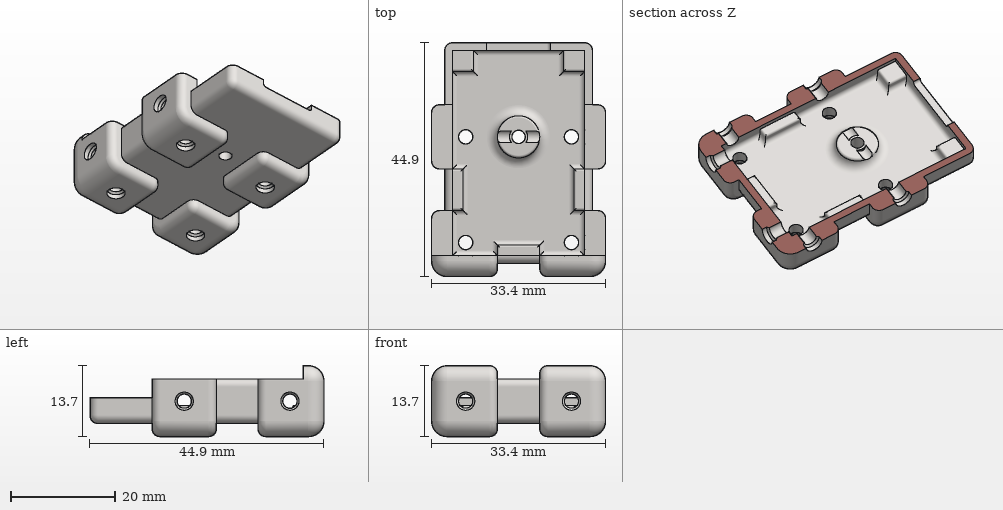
import cadquery as cq

half_width = 16.7
length = 44.85
foot_height = 13.65

wall = 1.53
cavity_half_width = 12.65
tray_half_width = cavity_half_width + wall
tray_front = 2.5
tray_bottom = 2.5
tray_top = 11.1
floor_z = 4.0
rear_wall_top = 7.5
cavity_front = tray_front + wall
cavity_rear = length - wall

foot_width = 12.65
front_foot_length = 12.7
middle_foot_front = 20.65
middle_foot_length = 12.35
large_round = 3.0
small_round = 1.53

hole_diameter = 2.7
mouth_diameter = 3.5
mouth_depth = 1.0
hole_overrun = 0.45
hole_x = 10.15
hole_z = foot_height / 2
front_hole_y = 6.55
middle_hole_y = middle_foot_front + middle_foot_length / 2

rest_height = 2.0
rest_top = floor_z + rest_height
rest_edge_round = 0.45
floor_round = 0.95
corner_rest_size = 4.05
bar_rest_depth = 2.0
side_rest_front = front_foot_length
side_rest_rear = middle_foot_front
front_rest_half_width = half_width - foot_width

boss_radius = 4.05
boss_flare = 2.0
pilot_diameter = 2.5
collar_diameter = 3.5

notch_half_width = 6.1
notch_round = 0.65


def block(x_min, x_max, y_min, y_max, z_min, z_max):
    """Box between the given limits."""
    size = (x_max - x_min, y_max - y_min, z_max - z_min)
    return cq.Workplane("XY").box(*size, centered=False).translate((x_min, y_min, z_min))


def both_sides(shape):
    """The shape together with its mirror image across the YZ plane."""
    return shape.union(shape.mirror("YZ"))


def cylinder(diameter, depth, start, direction):
    """Cylinder from a start point along a direction."""
    return cq.Workplane(obj=cq.Solid.makeCylinder(
        diameter / 2, depth, cq.Vector(*start), cq.Vector(*direction)))


def make_tray_body():
    """Solid rounded body of the tray, stepped down behind the middle feet."""
    body = block(-tray_half_width, tray_half_width, tray_front, length, tray_bottom, tray_top)
    body = body.edges().fillet(small_round)
    step_y = middle_foot_front + middle_foot_length
    return body.cut(block(-half_width, half_width, step_y, length, rear_wall_top, foot_height))


def make_foot(y_min, y_length, large_edges, small_edges):
    """Left foot block with generous outer rounds and smaller remaining rounds."""
    foot = block(-half_width, -half_width + foot_width, y_min, y_min + y_length, 0, foot_height)
    foot = foot.edges(large_edges).fillet(large_round)
    return foot.edges(small_edges).fillet(small_round)


def make_feet():
    """Front and middle feet on both sides."""
    front = make_foot(0, front_foot_length, "(<X and |Y) or (<Y and |X) or (<X and <Y)", ">X or >Y")
    middle = make_foot(middle_foot_front, middle_foot_length, "<X and |Y", ">X or <Y or >Y")
    above_tray = block(-half_width, half_width, cavity_front, length, tray_top, foot_height)
    return both_sides(front.union(middle)).cut(above_tray)


def make_rests():
    """Corner and bar rests, from the floor up to their flat tops."""
    corner = block(-cavity_half_width, -cavity_half_width + corner_rest_size,
                   cavity_rear - corner_rest_size, cavity_rear, floor_z, rest_top)
    side = block(-cavity_half_width, -cavity_half_width + bar_rest_depth,
                 side_rest_front, side_rest_rear, floor_z, rest_top)
    front = block(-front_rest_half_width, front_rest_half_width,
                  cavity_front, cavity_front + bar_rest_depth, floor_z, rest_top)
    return both_sides(corner.union(side)).union(front)


def make_cavity():
    """Hollow of the tray, shaped around the rests and rounded along the floor."""
    cavity = block(-cavity_half_width, cavity_half_width, cavity_front, cavity_rear, floor_z, foot_height)
    cavity = cavity.cut(make_rests())
    cavity = cavity.faces("<Z").edges().fillet(floor_round)
    return cavity


def round_rest_rims(tray):
    """Round the free top edges of the rests; the edges against the cavity walls stay sharp."""
    inset = rest_edge_round / 2
    rims = cq.selectors.BoxSelector(
        (-cavity_half_width + inset, cavity_front + inset, rest_top - inset),
        (cavity_half_width - inset, cavity_rear - inset, rest_top + inset))
    return tray.edges(rims).fillet(rest_edge_round)


def make_boss():
    """Round boss whose flare meets the floor smoothly and whose rim is rounded."""
    flare_end = boss_radius + boss_flare
    rim_z = rest_top - rest_edge_round
    flare_height = rim_z - floor_z
    flare_radius = (boss_flare ** 2 + flare_height ** 2) / (2 * flare_height)
    return (
        cq.Workplane("XZ")
        .moveTo(0, tray_bottom)
        .lineTo(flare_end, tray_bottom)
        .lineTo(flare_end, floor_z)
        .radiusArc((boss_radius, rim_z), flare_radius)
        .radiusArc((boss_radius - rest_edge_round, rest_top), -rest_edge_round)
        .lineTo(0, rest_top)
        .close()
        .revolve(360, (0, 0), (0, 1))
        .translate((0, middle_hole_y, 0))
    )


def make_notch():
    """Rear wall opening with rounded bottom corners."""
    notch = block(-notch_half_width, notch_half_width, cavity_rear, length, rest_top, rear_wall_top)
    return notch.edges("|Y and <Z").fillet(notch_round)


def make_screw_hole(start, direction, wall_depth):
    """Hole with a wide mouth that narrows through a 45 degree cone, ending just inside the cavity."""
    mouth_radius = mouth_diameter / 2
    hole_radius = hole_diameter / 2
    cone_length = mouth_radius - hole_radius
    hole = cylinder(hole_diameter, wall_depth, start, direction)
    mouth = cylinder(mouth_diameter, mouth_depth, start, direction)
    cone_start = cq.Vector(*start) + cq.Vector(*direction) * mouth_depth
    cone = cq.Solid.makeCone(mouth_radius, hole_radius, cone_length, cone_start, cq.Vector(*direction))
    return hole.union(mouth.union(cq.Workplane(obj=cone)))


def cut_screw_holes(tray):
    """Cut the holes through the outer faces of the feet, the same on both sides."""
    holes = [make_screw_hole((-hole_x, 0, hole_z), (0, 1, 0), cavity_front + hole_overrun)]
    for y in (front_hole_y, middle_hole_y):
        side_depth = half_width - cavity_half_width + hole_overrun
        holes.append(make_screw_hole((-half_width, y, hole_z), (1, 0, 0), side_depth))
        holes.append(make_screw_hole((-hole_x, y, 0), (0, 0, 1), floor_z + hole_overrun))
    for hole in holes:
        tray = tray.cut(hole).cut(hole.mirror("YZ"))
    return tray


def cut_boss_grooves(tray):
    """Continue the middle side holes across the top of the boss."""
    reach = boss_radius + boss_flare
    groove = cylinder(hole_diameter, 2 * reach, (-reach, middle_hole_y, hole_z), (1, 0, 0))
    return tray.cut(groove)


def make_boss_cylinder(diameter):
    """Cylinder along the boss axis, from the underside of the tray to the boss top."""
    start = (0, middle_hole_y, tray_bottom)
    return cylinder(diameter, rest_top - tray_bottom, start, (0, 0, 1))


tray = make_tray_body().union(make_feet())
tray = round_rest_rims(tray.cut(make_cavity()))
tray = cut_boss_grooves(tray.union(make_boss()))
tray = cut_screw_holes(tray.cut(make_notch()))
result = tray.union(make_boss_cylinder(collar_diameter)).cut(make_boss_cylinder(pilot_diameter))